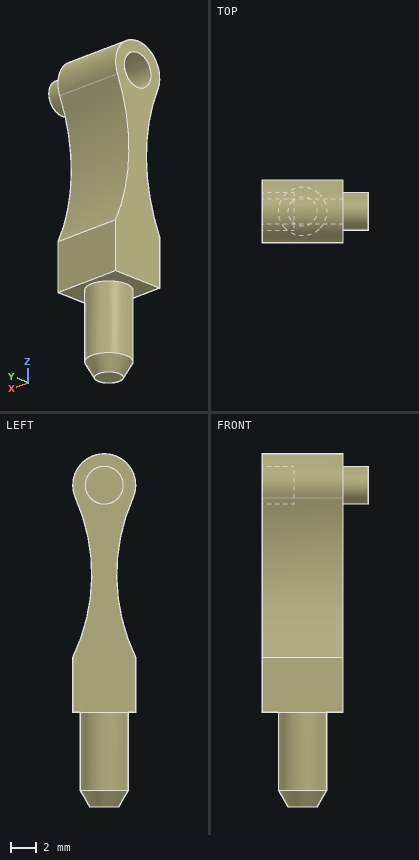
import cadquery as cq
import math

body_width = 6.4
body_depth = 5.0
waist_depth = 2.0
waist_radius = 15.0
total_height = 28.0

pin_diameter = 3.0
pin_length = 2.0
socket_depth = 2.5

shaft_diameter = 3.84
shaft_length = 7.5
tip_diameter = 2.3
tip_height = 1.34

half_depth = body_depth / 2
half_waist = waist_depth / 2
head_radius = half_depth
head_z = total_height - shaft_length - head_radius

arc_center_y = half_waist + waist_radius
arc_center_distance = waist_radius + head_radius
waist_z = head_z - math.sqrt(arc_center_distance**2 - arc_center_y**2)

neck_y = head_radius * arc_center_y / arc_center_distance
neck_z = head_z - head_radius * (head_z - waist_z) / arc_center_distance

block_height = waist_z - math.sqrt(waist_radius**2 - (arc_center_y - half_depth) ** 2)


def make_body():
    """Block, waist and round head as one profile, extruded along X."""
    return (
        cq.Workplane("YZ")
        .moveTo(-half_depth, 0)
        .lineTo(half_depth, 0)
        .lineTo(half_depth, block_height)
        .threePointArc((half_waist, waist_z), (neck_y, neck_z))
        .threePointArc((0, head_z + head_radius), (-neck_y, neck_z))
        .threePointArc((-half_waist, waist_z), (-half_depth, block_height))
        .close()
        .extrude(body_width)
    )


def head_cylinder(start_x, length):
    """Cylinder of pin diameter along the head axis."""
    return (
        cq.Workplane("YZ", origin=(start_x, 0, head_z))
        .circle(pin_diameter / 2)
        .extrude(length)
    )


def make_shaft():
    """Round shaft hanging below the block, tapering to a flat tip."""
    shaft_radius = shaft_diameter / 2
    tip_radius = tip_diameter / 2
    return (
        cq.Workplane("XZ", origin=(body_width / 2, 0, 0))
        .moveTo(0, 0)
        .lineTo(shaft_radius, 0)
        .lineTo(shaft_radius, tip_height - shaft_length)
        .lineTo(tip_radius, -shaft_length)
        .lineTo(0, -shaft_length)
        .close()
        .revolve(360, (0, 0, 0), (0, 1, 0))
    )


pin = head_cylinder(body_width, pin_length)
socket = head_cylinder(0, socket_depth)

result = make_body().union(pin).union(make_shaft()).cut(socket)